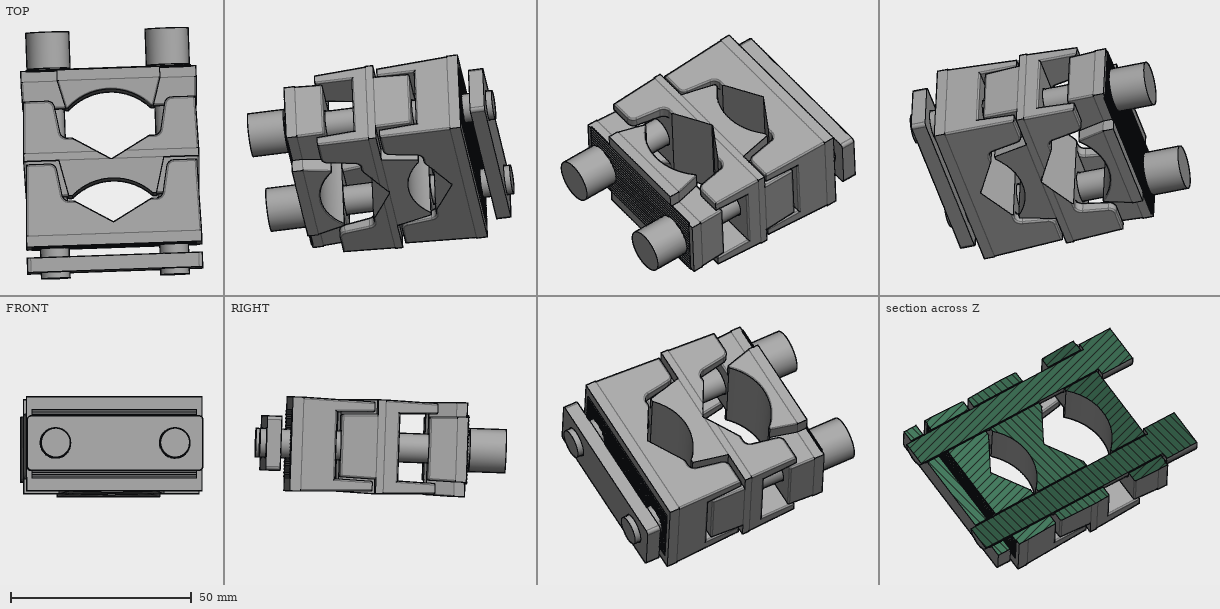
import cadquery as cq
import math

TILT_X = -2.0
TILT_Z = 2.0

JAW_WIDTH = 48.5
JAW_HEIGHT = 26.0
DRAFT = 2.0
EDGE_ROUND = 0.45

WING_HEIGHT = 18.0
BACK_PAD_ROOT_HALF = 14.2
MIDDLE_PAD_ROOT_HALF = 14.5
PAD_TIP_HALF = 12.1
BACK_PAD_ROUND = 0.28
PIPE_RADIUS = 16.0

SLOT_FLOOR_HEIGHT = 18.5
MOUTH_FLOOR_HALF = 13.7
MOUTH_SLOPE = 10.0
MOUTH_ROUND = 2.0
PRONG_LENGTH = 10.4
VEE_DEPTH = 6.2
VEE_HALF_ANGLE = 60.0

FRONT_BAND = 3.0
FRONT_FLOOR = 12.35
MIDDLE_TONGUE_TIP = 13.8
MIDDLE_BAND_START = 23.7
MIDDLE_BAND = 2.1
MIDDLE_FLOOR = 29.75
BACK_TONGUE_TIP = 38.1
BACK_FACE = 48.7
BACK_BAND = 3.0
MIDDLE_ARC_TOP = 18.3
BACK_ARC_TOP = 42.9

TOOTH_PITCH = 1.0
TOOTH_HEIGHT = 0.25
TOOTH_COUNT = 19
TEETH_WIDTH = 45.5

BOLT_SPACING = 33.0
SHANK_DIAMETER = 8.0
HOLE_DIAMETER = 8.4
HEAD_DIAMETER = 12.0
HEAD_LENGTH = 10.0
SHANK_LENGTH = 58.0
BOLT_END = -8.5
PLATE_HEIGHT = 15.0
PLATE_THICKNESS = 4.0
PLATE_GAP = 2.85
PLATE_CORNER = 1.0

BOLT_X = (-BOLT_SPACING / 2, BOLT_SPACING / 2)
OVERSIZE = 2 * JAW_WIDTH


def across(y, direction=1):
    """Workplane at a given y whose extrusions run along +Y (or -Y for -1)."""
    return cq.Workplane(cq.Plane(origin=(0, y, 0), xDir=(1, 0, 0), normal=(0, direction, 0)))


def plan():
    """Workplane for outlines that are cut or extruded through the jaw height."""
    return cq.Workplane("XY").workplane(offset=-OVERSIZE / 2)


def block(y, length, height, direction=1, draft=0.0):
    return across(y, direction).rect(JAW_WIDTH, height).extrude(length, taper=draft)


def drill_bolt_holes(body):
    holes = across(-OVERSIZE).pushPoints([(x, 0) for x in BOLT_X]).circle(HOLE_DIAMETER / 2)
    return body.cut(holes.extrude(2 * OVERSIZE))


def teeth(face_y, direction):
    """Row of V-shaped ridges that rise from an outer face."""
    bottom = -TOOTH_COUNT * TOOTH_PITCH / 2
    points = [(face_y, bottom)]
    for index in range(TOOTH_COUNT):
        z = bottom + index * TOOTH_PITCH
        points.append((face_y + direction * TOOTH_HEIGHT, z + TOOTH_PITCH / 2))
        points.append((face_y, z + TOOTH_PITCH))
    root = face_y - direction * TOOTH_HEIGHT
    points += [(root, -bottom), (root, bottom)]
    return cq.Workplane("YZ").polyline(points).close().extrude(TEETH_WIDTH / 2, both=True)


def fork(base_y, floor_y):
    """Drafted block whose far end is split by a mouth and a slot into two prongs."""
    tip_y = floor_y + PRONG_LENGTH
    body = block(base_y, tip_y - base_y, JAW_HEIGHT, draft=DRAFT)

    mouth_tip_half = MOUTH_FLOOR_HALF + PRONG_LENGTH * math.tan(math.radians(MOUTH_SLOPE))
    mouth = plan().polyline([
        (-MOUTH_FLOOR_HALF, floor_y),
        (MOUTH_FLOOR_HALF, floor_y),
        (mouth_tip_half, tip_y),
        (-mouth_tip_half, tip_y),
    ])
    mouth = mouth.close().extrude(OVERSIZE)
    body = body.cut(mouth.edges("|Z and <Y").fillet(MOUTH_ROUND))
    mouth_entry = cq.selectors.BoxSelector(
        (-mouth_tip_half - MOUTH_ROUND, tip_y - MOUTH_ROUND, -JAW_HEIGHT),
        (mouth_tip_half + MOUTH_ROUND, tip_y + MOUTH_ROUND, JAW_HEIGHT),
    )
    body = body.edges(mouth_entry).edges("|Z").fillet(MOUTH_ROUND)

    slot = across(floor_y).rect(OVERSIZE, SLOT_FLOOR_HEIGHT).extrude(OVERSIZE, taper=-DRAFT)
    body = body.cut(slot)
    return body.edges("not <Y").edges("not |X or >Y").fillet(EDGE_ROUND)


def vee_seat(floor_y):
    """Cutter for the V that supports the pipe, opening at the floor of the mouth."""
    half_width = VEE_DEPTH * math.tan(math.radians(VEE_HALF_ANGLE))
    outline = plan().polyline([
        (-half_width, floor_y),
        (0, floor_y - VEE_DEPTH),
        (half_width, floor_y),
    ])
    return outline.close().extrude(OVERSIZE)


def wings(root_y, tip_y):
    """Low part of a tongue, running the full jaw width from root_y in -Y to tip_y."""
    body = block(root_y, root_y - tip_y, WING_HEIGHT, -1, DRAFT)
    return body.edges("not >Y").fillet(EDGE_ROUND)


def pad(root_y, tip_y, root_half, arc_top):
    """Full-height middle of a tongue, narrowing to its tip and hollowed by the pipe seat."""
    outline = plan().polyline([
        (-root_half, root_y),
        (-PAD_TIP_HALF, tip_y),
        (PAD_TIP_HALF, tip_y),
        (root_half, root_y),
    ])
    body = block(root_y, root_y - tip_y, JAW_HEIGHT, -1, DRAFT)
    return body.intersect(outline.close().extrude(OVERSIZE)).cut(pipe_seat(arc_top))


def pipe_seat(arc_top):
    return plan().center(0, arc_top - PIPE_RADIUS).circle(PIPE_RADIUS).extrude(OVERSIZE)


def make_front_jaw():
    body = block(0, FRONT_BAND, JAW_HEIGHT).union(fork(FRONT_BAND, FRONT_FLOOR))
    body = body.cut(vee_seat(FRONT_FLOOR)).union(teeth(0, -1))
    return drill_bolt_holes(body)


def make_middle_jaw():
    band_end = MIDDLE_BAND_START + MIDDLE_BAND
    body = block(MIDDLE_BAND_START, MIDDLE_BAND, JAW_HEIGHT).union(fork(band_end, MIDDLE_FLOOR))
    body = body.cut(vee_seat(MIDDLE_FLOOR))
    tongue_wings = wings(MIDDLE_BAND_START, MIDDLE_TONGUE_TIP).cut(pipe_seat(MIDDLE_ARC_TOP))
    tongue_pad = pad(MIDDLE_BAND_START, MIDDLE_TONGUE_TIP, MIDDLE_PAD_ROOT_HALF, MIDDLE_ARC_TOP)
    return drill_bolt_holes(body.union(tongue_wings).union(tongue_pad))


def make_back_jaw():
    band_start = BACK_FACE - BACK_BAND
    wing_band = block(band_start, BACK_BAND, WING_HEIGHT)
    pad_band = across(band_start).rect(2 * BACK_PAD_ROOT_HALF, JAW_HEIGHT).extrude(BACK_BAND)
    tongue_wings = wings(band_start, BACK_TONGUE_TIP).cut(pipe_seat(BACK_ARC_TOP))
    tongue_pad = pad(band_start, BACK_TONGUE_TIP, BACK_PAD_ROOT_HALF, BACK_ARC_TOP)
    tongue_pad = tongue_pad.edges("not (|Z or >Y or <Y)").fillet(BACK_PAD_ROUND)
    body = tongue_wings.union(tongue_pad).union(wing_band).union(pad_band).union(teeth(BACK_FACE, 1))
    return drill_bolt_holes(body)


def make_plate():
    plate = across(-PLATE_GAP, -1).rect(JAW_WIDTH, PLATE_HEIGHT).extrude(PLATE_THICKNESS)
    return drill_bolt_holes(plate.edges("|Y").fillet(PLATE_CORNER))


def make_bolt(x):
    shank = across(BOLT_END).center(x, 0).circle(SHANK_DIAMETER / 2).extrude(SHANK_LENGTH)
    head = across(BOLT_END + SHANK_LENGTH).center(x, 0).circle(HEAD_DIAMETER / 2)
    return shank.union(head.extrude(HEAD_LENGTH))


def tilt(body):
    return body.rotate((0, 0, 0), (1, 0, 0), TILT_X).rotate((0, 0, 0), (0, 0, 1), TILT_Z)


front_jaw = tilt(make_front_jaw())
middle_jaw = tilt(make_middle_jaw())
back_jaw = tilt(make_back_jaw())
plate = tilt(make_plate())
bolts = [tilt(make_bolt(x)) for x in BOLT_X]

result = cq.Compound.makeCompound([
    *front_jaw.solids().vals(),
    *middle_jaw.solids().vals(),
    *back_jaw.solids().vals(),
    plate.val(),
    *[bolt.val() for bolt in bolts],
])